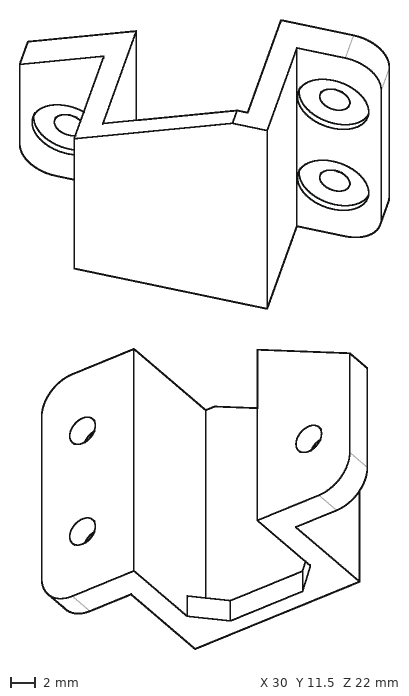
import cadquery as cq

width = 30.0
depth = 11.5
height = 22.02

flange_thickness = 2.5
box_left = 7.0
box_right = width - box_left
side_wall = 2.0
front_plate = 1.4

left_height = 12.85
slope_end_x = 20.13
corner_radius = 3.0

hole_diameter = 2.5
spotface_diameter = 5.9
spotface_depth = 0.5
hole_inset = 4.0
lower_hole_z = 6.0
upper_hole_z = 16.0

support_leg = 2.5
support_height = 2.0
ledge_depth = 0.12

channel_left = box_left + side_wall
channel_right = box_right - side_wall
channel_front = front_plate - depth


def box_between(x_start, x_end, y_start, y_end):
    """Full-height block between two x and two y positions."""
    size = (x_end - x_start, y_end - y_start, height)
    return cq.Workplane("XY").box(*size, centered=False).translate((x_start, y_start, 0))


def make_hat_section():
    flanges = box_between(0, width, -flange_thickness, 0)
    box = box_between(box_left, box_right, -depth, 0)
    channel = box_between(channel_left, channel_right, channel_front, 0)
    return flanges.union(box).cut(channel)


def make_outline():
    """Front outline through the full depth, with three rounded corners."""
    prism = (
        cq.Workplane("XZ")
        .polyline([(0, 0), (width, 0), (width, height), (slope_end_x, height), (0, left_height)])
        .close()
        .extrude(depth)
    )
    lower_corners = prism.edges("|Y and <Z").edges("<X or >X")
    prism = lower_corners.fillet(corner_radius)
    return prism.edges("|Y and >Z").edges(">X").fillet(corner_radius)


def make_corner_supports():
    ledge_y = channel_front + ledge_depth
    support_y = ledge_y + support_leg
    return (
        cq.Workplane("XY")
        .moveTo(channel_left, channel_front)
        .lineTo(channel_right, channel_front)
        .lineTo(channel_right, support_y)
        .lineTo(channel_right - support_leg, ledge_y)
        .lineTo(channel_left + support_leg, ledge_y)
        .lineTo(channel_left, support_y)
        .close()
        .extrude(support_height)
    )


def make_screw_hole(x, z):
    hole = cq.Workplane("XZ").center(x, z).circle(hole_diameter / 2).extrude(flange_thickness)
    spotface = (
        cq.Workplane("XZ", origin=(0, spotface_depth - flange_thickness, 0))
        .center(x, z)
        .circle(spotface_diameter / 2)
        .extrude(spotface_depth)
    )
    return hole.union(spotface)


result = make_hat_section().intersect(make_outline()).union(make_corner_supports())

hole_centers = [
    (hole_inset, lower_hole_z),
    (width - hole_inset, lower_hole_z),
    (width - hole_inset, upper_hole_z),
]
for hole_x, hole_z in hole_centers:
    result = result.cut(make_screw_hole(hole_x, hole_z))